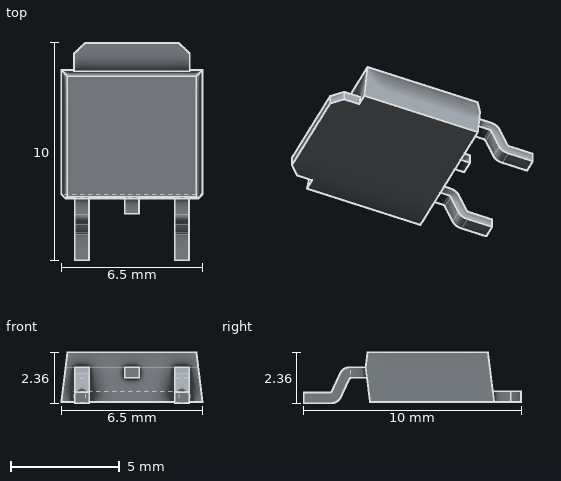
import cadquery as cq
import math


total_length = 10.0
tip_y = -total_length / 2
tab_end_y = total_length / 2

body_width = 6.504
body_height = 2.3
body_back_y = 3.76
parting_y = -2.155
draft = math.tan(math.radians(7))

metal_thickness = 0.5
lead_width = 0.665
lead_offset_x = 2.3
lead_top_z = 1.61
foot_bottom_z = -0.06
foot_length = 1.26
lead_slope = math.radians(65)
outer_bend_radius = 0.5
inner_bend_radius = 0.1
stub_end_y = -2.86

tab_width = 5.33
tab_chamfer_x = 0.51
tab_chamfer_y = 0.48

side_plane = "YZ"
embed_y = 0.0


def make_body():
    """Body drafted on every side, with the front face drafted both ways from the parting line."""
    inset = body_height * draft
    half_width = body_width / 2
    end_profile = [
        (-half_width, 0),
        (half_width, 0),
        (half_width - inset, body_height),
        (-half_width + inset, body_height),
    ]
    side_profile = [
        (body_back_y, 0),
        (body_back_y - inset, body_height),
        (parting_y + (body_height - lead_top_z) * draft, body_height),
        (parting_y, lead_top_z),
        (parting_y + lead_top_z * draft, 0),
    ]
    across = cq.Workplane(side_plane).polyline(side_profile).close().extrude(half_width, both=True)
    along = cq.Workplane("XZ").polyline(end_profile).close().extrude(total_length, both=True)
    return across.intersect(along)


def make_tab():
    """Flat tab behind the body with its two rear corners cut off."""
    half_width = tab_width / 2
    outline = [
        (-half_width, embed_y),
        (half_width, embed_y),
        (half_width, tab_end_y - tab_chamfer_y),
        (half_width - tab_chamfer_x, tab_end_y),
        (-half_width + tab_chamfer_x, tab_end_y),
        (-half_width, tab_end_y - tab_chamfer_y),
    ]
    return cq.Workplane("XY").polyline(outline).close().extrude(metal_thickness)


def round_bend(lead, y, z, radius):
    """Fillet the edge along X that passes through the point (y, z)."""
    return lead.edges(cq.selectors.NearestToPointSelector((0, y, z))).fillet(radius)


def make_bent_lead():
    """Lead centred on X = 0 that steps down from the parting line to its foot."""
    lead_bottom_z = lead_top_z - metal_thickness
    foot_top_z = foot_bottom_z + metal_thickness
    corner_shift = metal_thickness * math.tan(lead_slope / 2)

    foot_inner_y = tip_y + foot_length
    foot_outer_y = foot_inner_y + corner_shift
    shoulder_outer_y = foot_inner_y + (lead_top_z - foot_top_z) / math.tan(lead_slope)
    shoulder_inner_y = shoulder_outer_y + corner_shift

    outline = [
        (embed_y, lead_top_z),
        (shoulder_outer_y, lead_top_z),
        (foot_inner_y, foot_top_z),
        (tip_y, foot_top_z),
        (tip_y, foot_bottom_z),
        (foot_outer_y, foot_bottom_z),
        (shoulder_inner_y, lead_bottom_z),
        (embed_y, lead_bottom_z),
    ]
    lead = cq.Workplane(side_plane).polyline(outline).close().extrude(lead_width / 2, both=True)
    lead = round_bend(lead, shoulder_outer_y, lead_top_z, outer_bend_radius)
    lead = round_bend(lead, foot_outer_y, foot_bottom_z, outer_bend_radius)
    lead = round_bend(lead, shoulder_inner_y, lead_bottom_z, inner_bend_radius)
    return round_bend(lead, foot_inner_y, foot_top_z, inner_bend_radius)


def make_stub():
    """Short straight centre lead."""
    return (
        cq.Workplane("XY")
        .box(lead_width, embed_y - stub_end_y, metal_thickness, centered=(True, False, False))
        .translate((0, stub_end_y, lead_top_z - metal_thickness))
    )


result = make_body().union(make_tab()).union(make_stub())
for side in (-1, 1):
    result = result.union(make_bent_lead().translate((side * lead_offset_x, 0, 0)))